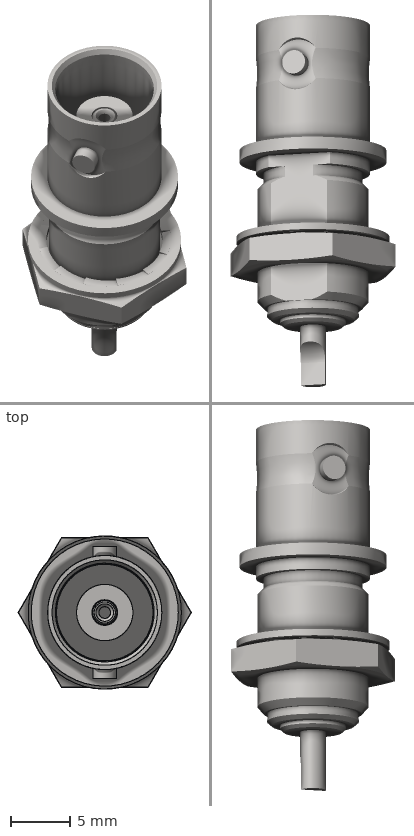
import cadquery as cq
import math

TOTAL_HEIGHT = 31.0
FLANGE_TOP = 20.2
FLANGE_BOTTOM = 19.2
COLLAR_BOTTOM = 18.2
NECK_BOTTOM = 17.27
THREAD_TOP = 16.8
THREAD_BOTTOM = 7.15
THREAD_CHAMFER_BOTTOM = 6.57
UPPER_STEP_LIP_TOP = 6.0
UPPER_STEP_BOTTOM = 5.9
UPPER_STEP_CHAMFER_BOTTOM = 5.55
LOWER_STEP_BOTTOM = 5.27
LOWER_STEP_CHAMFER_BOTTOM = 5.0

SHELL_RADIUS = 4.85
FLANGE_RADIUS = 6.23
NECK_RADIUS = 4.2
THREAD_RADIUS = 4.7
THREAD_START_RADIUS = 4.25
THREAD_END_RADIUS = 4.15
UPPER_STEP_RADIUS = 3.88
UPPER_STEP_LIP_RADIUS = 3.9
UPPER_STEP_END_RADIUS = 3.5
LOWER_STEP_RADIUS = 2.8
LOWER_STEP_END_RADIUS = 2.48
THREAD_FLAT_Y = 4.0

MOUTH_RADIUS = 4.45
BORE_TOP_RADIUS = 4.2
BORE_FLOOR_RADIUS = 4.1
MOUTH_CHAMFER_HEIGHT = 0.4
SOCKET_FLOOR = FLANGE_TOP
INSULATOR_RADIUS = 2.4
INSULATOR_TOP = 27.45

CONTACT_WELL_RADIUS = 1.1
CONTACT_RADIUS = 1.02
CONTACT_CHAMFER = 0.12
CONTACT_HOLE_RADIUS = 0.5
CONTACT_COUNTERSINK = 0.25
CONTACT_DEPTH = 2.48

BAYONET_Z = 26.85
LUG_DIAMETER = 2.0
LUG_SPAN = 11.15
LUG_FLAT_RADIUS = 2.1
LUG_FLAT_RIM_RADIUS = 2.23
LUG_FLAT_Y = 4.55
GROOVE_WIDTH = 2.6
GROOVE_DEPTH = 0.1

TAIL_RADIUS = 1.1
TAIL_CUT_Z = 1.92
TAIL_CUT_RADIUS = 1.75

HEX_SIDES = 6
HEX_CORNERS = 14.65
HEX_TOP = 11.9
HEX_BOTTOM = 9.6
HEX_CORNER_DROP = 0.2

WASHER_DIAMETER = 13.0
WASHER_TOP = 12.75
WASHER_BOTTOM = 12.18
WASHER_RING_INNER_RADIUS = 5.65
TOOTH_TIP_RADIUS = 4.93
TOOTH_COUNT = 12
TOOTH_TWIST_RISE = 0.11


def cylinder(radius, bottom, top):
    return cq.Workplane("XY").workplane(offset=bottom).circle(radius).extrude(top - bottom)


def revolve_profile(points):
    """Turn a closed (radius, height) outline about the Z axis."""
    return cq.Workplane("XZ").polyline(points).close().revolve(360, (0, 0, 0), (0, 1, 0))


def make_turned_shell():
    """Shell, flange, collar and neck above the thread."""
    return revolve_profile([
        (0, NECK_BOTTOM),
        (NECK_RADIUS, NECK_BOTTOM),
        (NECK_RADIUS, COLLAR_BOTTOM),
        (SHELL_RADIUS, COLLAR_BOTTOM),
        (SHELL_RADIUS, FLANGE_BOTTOM),
        (FLANGE_RADIUS, FLANGE_BOTTOM),
        (FLANGE_RADIUS, FLANGE_TOP),
        (SHELL_RADIUS, FLANGE_TOP),
        (SHELL_RADIUS, TOTAL_HEIGHT),
        (0, TOTAL_HEIGHT),
    ])


def make_turned_thread():
    """Thread barrel with the two chamfered steps at its lower end."""
    return revolve_profile([
        (0, LOWER_STEP_CHAMFER_BOTTOM),
        (LOWER_STEP_END_RADIUS, LOWER_STEP_CHAMFER_BOTTOM),
        (LOWER_STEP_RADIUS, LOWER_STEP_BOTTOM),
        (LOWER_STEP_RADIUS, UPPER_STEP_CHAMFER_BOTTOM),
        (UPPER_STEP_END_RADIUS, UPPER_STEP_CHAMFER_BOTTOM),
        (UPPER_STEP_LIP_RADIUS, UPPER_STEP_BOTTOM),
        (UPPER_STEP_LIP_RADIUS, UPPER_STEP_LIP_TOP),
        (UPPER_STEP_RADIUS, UPPER_STEP_LIP_TOP),
        (UPPER_STEP_RADIUS, THREAD_CHAMFER_BOTTOM),
        (THREAD_END_RADIUS, THREAD_CHAMFER_BOTTOM),
        (THREAD_RADIUS, THREAD_BOTTOM),
        (THREAD_RADIUS, THREAD_TOP),
        (THREAD_START_RADIUS, NECK_BOTTOM),
        (0, NECK_BOTTOM),
    ])


def make_flat_cutter():
    """Block that flattens the +Y side from the flange down to the end of the thread."""
    height = FLANGE_BOTTOM - THREAD_CHAMFER_BOTTOM
    depth = FLANGE_RADIUS - THREAD_FLAT_Y
    return (
        cq.Workplane("XY")
        .box(2 * FLANGE_RADIUS, depth, height, centered=(True, False, False))
        .translate((0, THREAD_FLAT_Y, THREAD_CHAMFER_BOTTOM))
    )


def make_socket_cutter():
    """Chamfered, slightly tapered socket around the insulator."""
    socket = revolve_profile([
        (0, SOCKET_FLOOR),
        (BORE_FLOOR_RADIUS, SOCKET_FLOOR),
        (BORE_TOP_RADIUS, TOTAL_HEIGHT - MOUTH_CHAMFER_HEIGHT),
        (MOUTH_RADIUS, TOTAL_HEIGHT),
        (0, TOTAL_HEIGHT),
    ])
    return socket.cut(cylinder(INSULATOR_RADIUS, SOCKET_FLOOR, INSULATOR_TOP))


def make_contact():
    """Tubular contact with a chamfered, countersunk tip."""
    bottom = INSULATOR_TOP - CONTACT_DEPTH
    contact = cylinder(CONTACT_RADIUS, bottom, INSULATOR_TOP).faces(">Z").chamfer(CONTACT_CHAMFER)
    return contact.cut(revolve_profile([
        (0, bottom),
        (CONTACT_HOLE_RADIUS, bottom),
        (CONTACT_HOLE_RADIUS, INSULATOR_TOP - CONTACT_COUNTERSINK),
        (CONTACT_HOLE_RADIUS + CONTACT_COUNTERSINK, INSULATOR_TOP),
        (0, INSULATOR_TOP),
    ]))


def make_groove_cutter():
    """Ring with a shallow arc section that hollows the shell between the lugs."""
    return (
        cq.Workplane("XZ")
        .moveTo(SHELL_RADIUS, BAYONET_Z - GROOVE_WIDTH / 2)
        .threePointArc(
            (SHELL_RADIUS - GROOVE_DEPTH, BAYONET_Z),
            (SHELL_RADIUS, BAYONET_Z + GROOVE_WIDTH / 2),
        )
        .close()
        .revolve(360, (0, 0, 0), (0, 1, 0))
    )


def bayonet_plane(distance, side):
    """Plane facing outward along Y at the bayonet height; side is +1 or -1."""
    return cq.Plane(origin=(0, side * distance, BAYONET_Z), xDir=(1, 0, 0), normal=(0, side, 0))


def make_lug_flat_cutter(side):
    """Cone that leaves a round flat with a flared rim around one lug."""
    depth = SHELL_RADIUS - LUG_FLAT_Y
    return (
        cq.Workplane(bayonet_plane(LUG_FLAT_Y, side))
        .circle(LUG_FLAT_RADIUS)
        .workplane(offset=depth)
        .circle(LUG_FLAT_RIM_RADIUS)
        .loft(ruled=True)
    )


def make_lug(side):
    length = LUG_SPAN / 2 - BORE_TOP_RADIUS
    return cq.Workplane(bayonet_plane(BORE_TOP_RADIUS, side)).circle(LUG_DIAMETER / 2).extrude(length)


def make_solder_tail():
    """Round tail whose +Y half is milled away with a rounded run-out."""
    tail = cylinder(TAIL_RADIUS, 0, LOWER_STEP_CHAMFER_BOTTOM)
    cutter = (
        cq.Workplane("YZ", origin=(-TAIL_RADIUS, 0, 0))
        .moveTo(0, 0)
        .lineTo(0, TAIL_CUT_Z)
        .radiusArc((TAIL_CUT_RADIUS, TAIL_CUT_Z + TAIL_CUT_RADIUS), TAIL_CUT_RADIUS)
        .lineTo(TAIL_CUT_RADIUS, 0)
        .close()
        .extrude(2 * TAIL_RADIUS)
    )
    return tail.cut(cutter)


def make_hexagon():
    """Hexagonal ring on the thread, chamfered at its corners, one piece with the connector."""
    corner_radius = HEX_CORNERS / 2
    flat_radius = corner_radius * math.cos(math.pi / HEX_SIDES)
    prism = (
        cq.Workplane("XY", origin=(0, 0, HEX_BOTTOM))
        .polygon(HEX_SIDES, HEX_CORNERS)
        .circle(THREAD_RADIUS)
        .extrude(HEX_TOP - HEX_BOTTOM)
    )
    chamfered_blank = revolve_profile([
        (0, HEX_BOTTOM),
        (flat_radius, HEX_BOTTOM),
        (corner_radius, HEX_BOTTOM + HEX_CORNER_DROP),
        (corner_radius, HEX_TOP - HEX_CORNER_DROP),
        (flat_radius, HEX_TOP),
        (0, HEX_TOP),
    ])
    return prism.intersect(chamfered_blank)


def make_connector():
    """Connector in one piece: shell, thread, bayonet lugs, contact, solder tail and hexagon."""
    connector = make_turned_shell().union(make_turned_thread()).cut(make_flat_cutter())
    connector = connector.cut(make_groove_cutter())
    for side in (1, -1):
        connector = connector.cut(make_lug_flat_cutter(side)).union(make_lug(side))
    connector = connector.cut(make_socket_cutter())
    well = cylinder(CONTACT_WELL_RADIUS, INSULATOR_TOP - CONTACT_DEPTH, INSULATOR_TOP)
    connector = connector.cut(well.cut(make_contact()))
    return connector.union(make_solder_tail()).union(make_hexagon())


def make_tooth():
    """One tooth pointing from the ring to the axis, twisted so its tip leans along the rim."""
    half_pitch = math.pi / TOOTH_COUNT
    root_x = WASHER_RING_INNER_RADIUS
    tip_x = TOOTH_TIP_RADIUS * math.cos(half_pitch)

    def section(x, rise):
        half_width = x * math.tan(half_pitch)
        return cq.Wire.makePolygon(
            [
                cq.Vector(x, -half_width, WASHER_BOTTOM + rise),
                cq.Vector(x, half_width, WASHER_BOTTOM - rise),
                cq.Vector(x, half_width, WASHER_TOP - rise),
                cq.Vector(x, -half_width, WASHER_TOP + rise),
            ],
            close=True,
        )

    blank = cq.Solid.makeLoft([section(root_x, 0), section(tip_x, TOOTH_TWIST_RISE)], True)
    low = WASHER_BOTTOM - TOOTH_TWIST_RISE
    high = WASHER_TOP + TOOTH_TWIST_RISE
    annulus = cylinder(WASHER_RING_INNER_RADIUS, low, high).cut(cylinder(TOOTH_TIP_RADIUS, low, high))
    tooth = cq.Workplane(blank).intersect(annulus)
    return tooth.rotate((0, 0, 0), (0, 0, 1), math.degrees(half_pitch))


def make_lock_washer():
    """Flat ring with twisted inner teeth that clear the thread."""
    washer = cylinder(WASHER_DIAMETER / 2, WASHER_BOTTOM, WASHER_TOP)
    washer = washer.cut(cylinder(WASHER_RING_INNER_RADIUS, WASHER_BOTTOM, WASHER_TOP))
    tooth = make_tooth()
    for index in range(TOOTH_COUNT):
        washer = washer.union(tooth.rotate((0, 0, 0), (0, 0, 1), index * 360 / TOOTH_COUNT))
    return washer


connector = make_connector()
lock_washer = make_lock_washer()
result = cq.Compound.makeCompound([connector.solids().val(), lock_washer.solids().val()])